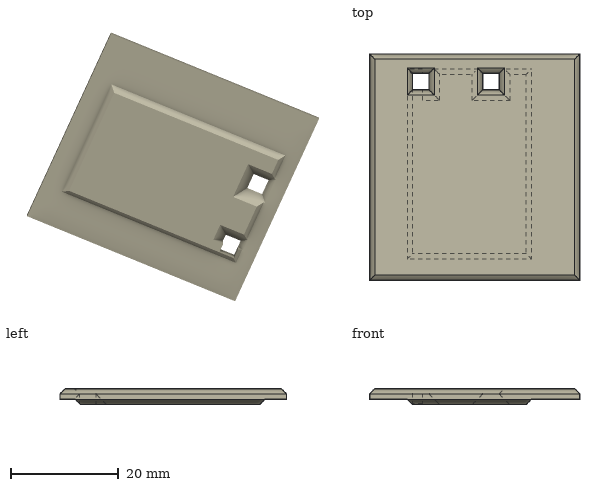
import cadquery as cq

PLATE_X = 39.0
PLATE_Y = 42.0
PLATE_THICKNESS = 2.0
BEVEL = 1.0

PAD_HEIGHT = BEVEL
PAD_X = 23.0
PAD_FRONT = 4.0
PAD_BACK = 39.15
PAD_Y = PAD_BACK - PAD_FRONT

NECK_SIZE = 3.0
MOUTH_SIZE = NECK_SIZE + 2 * BEVEL
HOLE_PITCH = 13.0
FIRST_HOLE_X = 9.5
HOLE_Y = 36.85

PLATE_BOTTOM = PAD_HEIGHT
NECK_Z = PLATE_BOTTOM + BEVEL
PLATE_TOP = PLATE_BOTTOM + PLATE_THICKNESS

PAD_LEFT = FIRST_HOLE_X - MOUTH_SIZE / 2

WALL_LENGTH = 2.8


def frustum(center_x, center_y, bottom_z, height, bottom_size, top_size):
    """Four-sided frustum on (x, y) sizes, centred on a vertical axis."""
    return (
        cq.Workplane("XY", origin=(center_x, center_y, bottom_z))
        .rect(*bottom_size)
        .workplane(offset=height)
        .rect(*top_size)
        .loft(ruled=True, combine=True)
    )


def square_frustum(center_x, bottom_z, height, bottom_side, top_side):
    """Square frustum on the row of holes."""
    return frustum(center_x, HOLE_Y, bottom_z, height, (bottom_side, bottom_side), (top_side, top_side))


def make_plate():
    """Rectangular plate with its top edges bevelled."""
    return (
        cq.Workplane("XY", origin=(0, 0, PLATE_BOTTOM))
        .box(PLATE_X, PLATE_Y, PLATE_THICKNESS, centered=False)
        .faces(">Z")
        .edges()
        .chamfer(BEVEL)
    )


def make_pad():
    """Pad with sloping sides, widest where it meets the plate."""
    wide = (PAD_X, PAD_Y)
    narrow = (PAD_X - 2 * BEVEL, PAD_Y - 2 * BEVEL)
    return frustum(PAD_LEFT + PAD_X / 2, PAD_FRONT + PAD_Y / 2, 0, PAD_HEIGHT, narrow, wide)


def make_upper_opening(center_x):
    """Opening that narrows from the top of the plate down to the neck."""
    return square_frustum(center_x, NECK_Z, PLATE_TOP - NECK_Z, NECK_SIZE, MOUTH_SIZE)


def make_flared_opening(center_x):
    """Opening that widens from the neck down through the pad."""
    return square_frustum(center_x, 0, NECK_Z, NECK_SIZE + 2 * NECK_Z, NECK_SIZE)


def make_half_flared_opening(center_x):
    """Opening below the neck that is straight on the left and widens only past the wall."""
    straight = square_frustum(center_x, 0, NECK_Z, NECK_SIZE, NECK_SIZE)
    wall_block = cq.Workplane("XY", origin=(PAD_LEFT - BEVEL, 0, 0)).box(
        BEVEL + WALL_LENGTH, PLATE_Y, NECK_Z, centered=False
    )
    return make_flared_opening(center_x).cut(wall_block).union(straight)


second_hole_x = FIRST_HOLE_X + HOLE_PITCH
result = (
    make_plate()
    .union(make_pad())
    .cut(make_upper_opening(FIRST_HOLE_X))
    .cut(make_half_flared_opening(FIRST_HOLE_X))
    .cut(make_upper_opening(second_hole_x))
    .cut(make_flared_opening(second_hole_x))
)